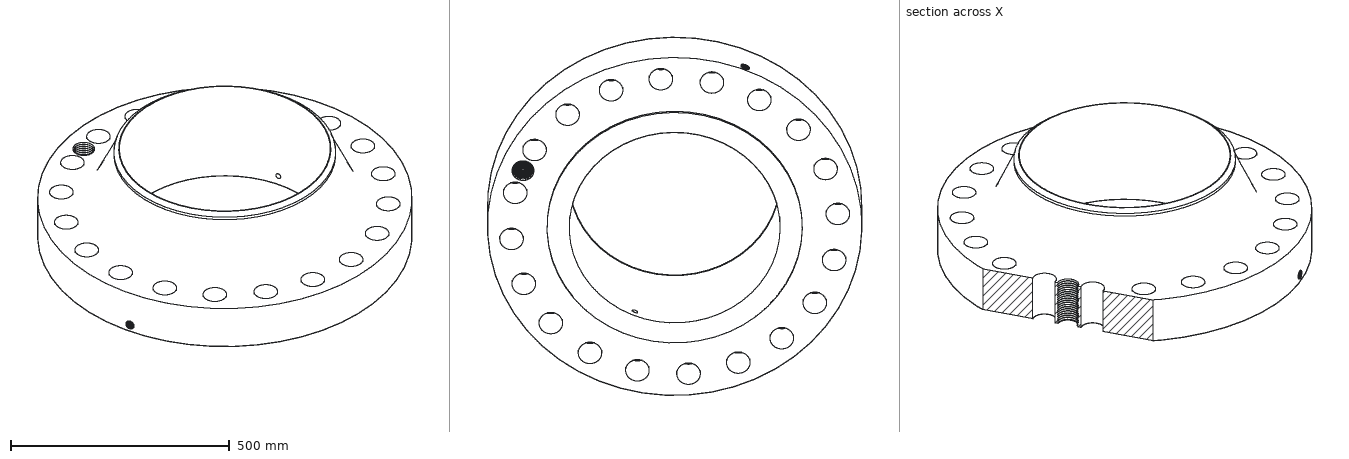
import cadquery as cq
import math

FLANGE_DIAMETER = 857.25
FLANGE_THICKNESS = 107.95
RAISED_FACE_DIAMETER = 584.2
RAISED_FACE_HEIGHT = 6.35
OVERALL_HEIGHT = 254.0
BORE_DIAMETER = 482.6

HUB_BASE_DIAMETER = 622.3
HUB_FILLET_RADIUS = 3.0
PIPE_DIAMETER = 508.0
WELD_NECK_LENGTH = 7.0
WELD_LAND = 1.6
WELD_BEVEL_ANGLE = 37.5

BOLT_COUNT = 20
BOLT_CIRCLE_DIAMETER = 749.3
BOLT_HOLE_DIAMETER = 53.975

JACK_MAJOR_DIAMETER = 50.0
JACK_MINOR_DIAMETER = 43.9
JACK_PITCH = 5.644

TAP_HEIGHT = 24.0
TAP_BORE_DIAMETER = 12.7
TAP_MAJOR_DIAMETER = 20.6
TAP_MINOR_DIAMETER = 18.0
TAP_PITCH = 1.814
TAP_THREAD_COUNT = 11

FLANGE_RADIUS = FLANGE_DIAMETER / 2
BORE_RADIUS = BORE_DIAMETER / 2
BOLT_CIRCLE_RADIUS = BOLT_CIRCLE_DIAMETER / 2
FLANGE_TOP = RAISED_FACE_HEIGHT + FLANGE_THICKNESS


def flange_body():
    """Flange, raised face and hub turned in one piece, with the hub base filleted."""
    face_radius = RAISED_FACE_DIAMETER / 2
    pipe_radius = PIPE_DIAMETER / 2
    hub_radius = HUB_BASE_DIAMETER / 2
    land_radius = BORE_RADIUS + WELD_LAND
    bevel_height = (pipe_radius - land_radius) * math.tan(math.radians(WELD_BEVEL_ANGLE))
    bevel_bottom = OVERALL_HEIGHT - bevel_height
    profile = [
        (BORE_RADIUS, 0),
        (face_radius, 0),
        (face_radius, RAISED_FACE_HEIGHT),
        (FLANGE_RADIUS, RAISED_FACE_HEIGHT),
        (FLANGE_RADIUS, FLANGE_TOP),
        (hub_radius, FLANGE_TOP),
        (pipe_radius, bevel_bottom - WELD_NECK_LENGTH),
        (pipe_radius, bevel_bottom),
        (land_radius, OVERALL_HEIGHT),
        (BORE_RADIUS, OVERALL_HEIGHT),
    ]
    body = cq.Workplane("XZ").polyline(profile).close().revolve(360, (0, 0), (0, 1))
    margin = HUB_FILLET_RADIUS
    reach = hub_radius + margin
    base_low = (-reach, -reach, FLANGE_TOP - margin)
    base_high = (reach, reach, FLANGE_TOP + margin)
    hub_base_edge = cq.selectors.BoxSelector(base_low, base_high, boundingbox=True)
    return body.edges(hub_base_edge).fillet(HUB_FILLET_RADIUS)


def bolt_holes():
    """Cutters for the ring of bolt holes."""
    half_spacing = 180 / BOLT_COUNT
    return (
        cq.Workplane("XY")
        .polarArray(BOLT_CIRCLE_RADIUS, half_spacing, 360, BOLT_COUNT)
        .circle(BOLT_HOLE_DIAMETER / 2)
        .extrude(FLANGE_TOP)
    )


def thread_cutter(major_diameter, minor_diameter, pitch, thread_count):
    """Cutter for a hole with ring-shaped V threads, running down -Z from the origin."""
    root_radius = major_diameter / 2
    crest_radius = minor_diameter / 2
    profile = [(0, 0), (root_radius, 0)]
    for turn in range(thread_count):
        profile.append((crest_radius, -(turn + 0.5) * pitch))
        profile.append((root_radius, -(turn + 1) * pitch))
    profile.append((0, -thread_count * pitch))
    return cq.Workplane("XZ").polyline(profile).close().revolve(360, (0, 0), (0, 1))


def jack_screw_hole():
    """Cutter for the threaded hole through the flange."""
    thread_count = math.ceil(FLANGE_THICKNESS / JACK_PITCH)
    cutter = thread_cutter(JACK_MAJOR_DIAMETER, JACK_MINOR_DIAMETER, JACK_PITCH, thread_count)
    return cutter.translate((-BOLT_CIRCLE_RADIUS, 0, FLANGE_TOP))


def pressure_tap():
    """Cutter for the tap at -Y: a threaded socket and a smaller bore beyond it."""
    socket = thread_cutter(TAP_MAJOR_DIAMETER, TAP_MINOR_DIAMETER, TAP_PITCH, TAP_THREAD_COUNT)
    bore = cq.Workplane("XY").circle(TAP_BORE_DIAMETER / 2).extrude(-FLANGE_RADIUS)
    cutter = socket.union(bore).rotate((0, 0, 0), (1, 0, 0), 90)
    return cutter.translate((0, -FLANGE_RADIUS, TAP_HEIGHT))


result = flange_body().cut(bolt_holes()).cut(jack_screw_hole())
for tap_turn in (0, 180):
    result = result.cut(pressure_tap().rotate((0, 0, 0), (0, 0, 1), tap_turn))